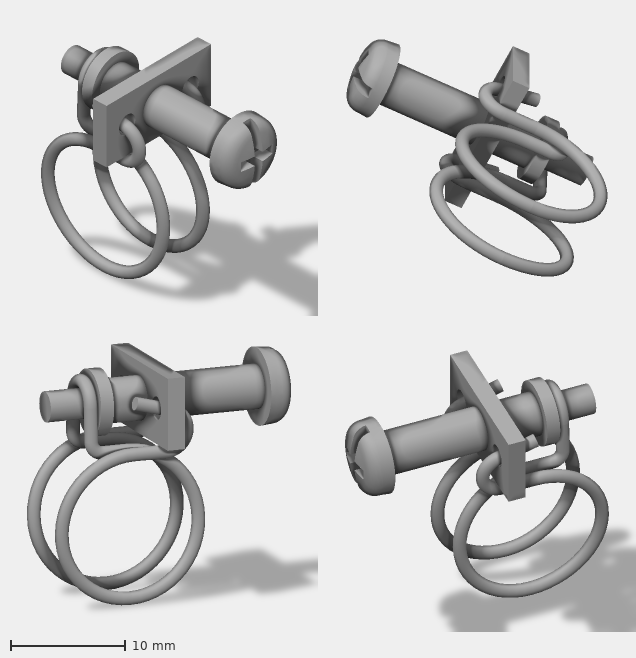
import cadquery as cq
import math


wire_dia = 1.2
ring_mean_radius = 6.6
ring_bottom_z = -17.25
saddle_radius = 2.0
inner_tilt = math.radians(2.8)
outer_tilt = math.radians(3.85)
bend_radius = 1.05
hook_start_x = 3.07
hook_radius = 1.9
tail_slope = math.radians(15)
tail_end_x = 0.0

collar_left_x = -2.76
collar_right_x = -1.54
collar_dia = 6.0
tip_left_x = -6.85
tip_dia = 2.75
shank_dia = 4.0
head_left_x = 13.1
head_rim_x = 14.25
head_base_radius = 3.5
head_rim_radius = 3.4
crown_edge_x = 15.4
crown_edge_radius = 2.35
crown_top_x = 15.75
slot_width = 1.0
cross_arm_length = 4.0

plate_left_x = 2.05
plate_thickness = 1.62
plate_width = 13.3
plate_height = 6.5
wire_hole_dia = 2.08
wire_hole_y = 4.04

saddle_x = collar_left_x - wire_dia / 2
ring_bottom_y = (saddle_radius - ring_bottom_z * math.sin(inner_tilt)) / math.cos(inner_tilt)


def leaning_plane(outward_lean):
    """Plane through the ring's lowest point: local x along X, local y up, leaning toward +Y."""
    return cq.Plane(
        origin=(0, ring_bottom_y, ring_bottom_z),
        xDir=(1, 0, 0),
        normal=(0, -math.cos(outward_lean), math.sin(outward_lean)),
    )


def make_half_clip():
    """Wire on the +Y side, from the tail end to the top of the saddle."""
    inner = leaning_plane(-inner_tilt)
    outer = leaning_plane(outer_tilt)
    ring_top = 2 * ring_mean_radius

    def arc(plane, centre, radius, start_degrees, end_degrees):
        points = []
        for degrees in (start_degrees, (start_degrees + end_degrees) / 2, end_degrees):
            angle = math.radians(degrees)
            x = centre[0] + radius * math.cos(angle)
            y = centre[1] + radius * math.sin(angle)
            points.append(plane.toWorldCoords((x, y)))
        return cq.Edge.makeThreePointArc(*points)

    hook_centre = (hook_start_x, ring_top + hook_radius)
    hook_end_degrees = 90 - math.degrees(tail_slope)
    hook = arc(outer, hook_centre, hook_radius, hook_end_degrees, -90)
    hook_end = hook.startPoint()
    tail_run = hook_start_x + hook_radius * math.sin(tail_slope) - tail_end_x
    tail_end = outer.toWorldCoords((
        tail_end_x,
        hook_centre[1] + hook_radius * math.cos(tail_slope) + tail_run * math.tan(tail_slope),
    ))
    tail = cq.Edge.makeLine(tail_end, hook_end)

    ring_centre = (0, ring_mean_radius)
    outer_half = arc(outer, ring_centre, ring_mean_radius, 90, 270)
    inner_half = arc(inner, ring_centre, ring_mean_radius, -90, 90)
    hook_straight = cq.Edge.makeLine(hook.endPoint(), outer_half.startPoint())

    bend = arc(inner, (saddle_x + bend_radius, ring_top + bend_radius), bend_radius, 270, 180)
    bend_straight = cq.Edge.makeLine(inner_half.endPoint(), bend.startPoint())

    def saddle_point(angle):
        y = saddle_radius * math.cos(angle)
        z = saddle_radius * math.sin(angle)
        return cq.Vector(saddle_x, y, z)

    saddle_mid_angle = (inner_tilt + math.pi / 2) / 2
    saddle = cq.Edge.makeThreePointArc(
        saddle_point(inner_tilt), saddle_point(saddle_mid_angle), saddle_point(math.pi / 2)
    )
    leg = cq.Edge.makeLine(bend.endPoint(), saddle.startPoint())

    path = cq.Wire.assembleEdges([
        tail, hook, hook_straight, outer_half, inner_half, bend_straight, bend, leg, saddle,
    ])
    section_plane = cq.Plane(origin=tail_end, xDir=(0, 1, 0), normal=hook_end - tail_end)
    return cq.Workplane(section_plane).circle(wire_dia / 2).sweep(path)


def make_clip():
    half = make_half_clip()
    return half.union(half.mirror("XZ"))


def make_screw():
    """Tip, collar, shank and domed head turned in one piece, with a slot and a cross recess."""
    head_taper = (head_rim_x - head_left_x, head_rim_radius - head_base_radius)
    crown_sagitta = crown_top_x - crown_edge_x
    crown_radius = (crown_edge_radius**2 + crown_sagitta**2) / (2 * crown_sagitta)
    half_crown_angle = math.asin(crown_edge_radius / crown_radius) / 2
    crown_mid = (
        crown_top_x - crown_radius * (1 - math.cos(half_crown_angle)),
        crown_radius * math.sin(half_crown_angle),
    )
    body = (
        cq.Workplane("XY")
        .moveTo(tip_left_x, 0)
        .lineTo(tip_left_x, tip_dia / 2)
        .lineTo(collar_left_x, tip_dia / 2)
        .lineTo(collar_left_x, collar_dia / 2)
        .lineTo(collar_right_x, collar_dia / 2)
        .lineTo(collar_right_x, shank_dia / 2)
        .lineTo(head_left_x, shank_dia / 2)
        .lineTo(head_left_x, head_base_radius)
        .lineTo(head_rim_x, head_rim_radius)
        .tangentArcPoint((crown_edge_x, crown_edge_radius), relative=False)
        .threePointArc(crown_mid, (crown_top_x, 0))
        .close()
        .revolve(360, (0, 0, 0), (1, 0, 0))
    )
    drive = cq.Workplane("YZ", origin=(head_rim_x, 0, 0))
    slot_depth = crown_top_x - head_rim_x
    slot = drive.rect(slot_width, 2 * head_base_radius).extrude(slot_depth)
    cross_arm = drive.rect(cross_arm_length, slot_width).extrude(slot_depth)
    return body.cut(slot).cut(cross_arm)


def make_plate():
    return (
        cq.Workplane("YZ", origin=(plate_left_x, 0, 0))
        .rect(plate_width, plate_height)
        .circle(shank_dia / 2)
        .pushPoints([(-wire_hole_y, 0), (wire_hole_y, 0)])
        .circle(wire_hole_dia / 2)
        .extrude(plate_thickness)
    )


clip = make_clip()
screw = make_screw()
plate = make_plate()

result = cq.Compound.makeCompound([clip.val(), screw.val(), plate.val()])